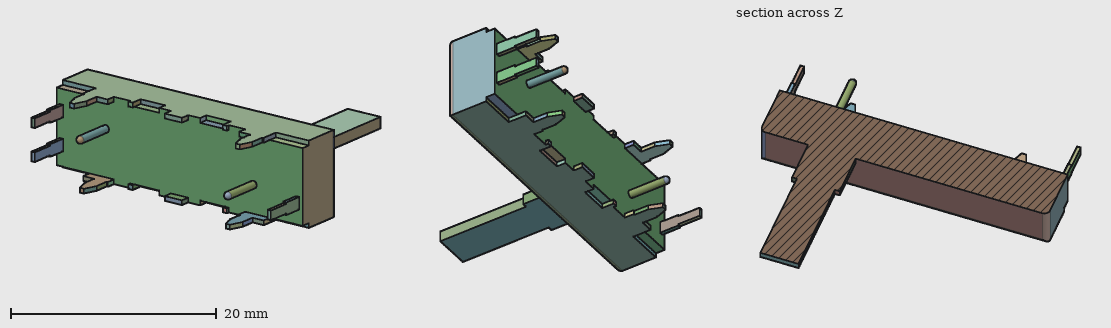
import cadquery as cq
import math


case_length = 30.0
case_depth = 5.5
case_height = 9.0
case_edge_radius = 0.6

lever_x = 7.5
lever_thickness = 1.2
lever_base_width = 5.0
lever_base_length = 4.4
lever_tip_width = 4.0
lever_tip_length = 10.0

sheet_thickness = 0.5
recess_depth = 1.0
end_recess_length = 4.0
window_inner_x = 2.5
window_outer_x = 5.5
nub_width = 0.5
nub_length = 0.3
tab_length = 1.0
centre_tab_width = 2.1
side_tab_width = 3.0

prong_width = 1.5
prong_tip_width = 0.5
prong_taper_start = 2.6
prong_length = 4.0
upper_prong_x = 10.1
lower_prong_x = 8.9

terminal_x = 14.4
terminal_z = 1.75
terminal_thickness = 0.4
terminal_base_width = 1.3
terminal_base_length = 2.1
terminal_tip_width = 1.0
terminal_length = 4.6

pin_x = 9.0
pin_z = 1.0
pin_radius = 0.4
pin_length = 4.5

case_end_x = case_length / 2
side_tab_outer_x = case_end_x - end_recess_length
side_tab_inner_x = side_tab_outer_x - side_tab_width
nub_outer_x = window_outer_x + nub_width
upper_sheet_z = case_height / 2 - sheet_thickness
lower_sheet_z = -case_height / 2


def block(x_range, y_range, z_range):
    """Box between the given limits along each axis."""
    size = [high - low for low, high in (x_range, y_range, z_range)]
    corner = (x_range[0], y_range[0], z_range[0])
    return cq.Workplane("XY").box(*size, centered=False).translate(corner)


def centred(middle, width):
    """Limits of a width centred on a place."""
    return (middle - width / 2, middle + width / 2)


def mirrored_range(side, inner, outer):
    """Limits between two distances from the middle, on the side given by its sign."""
    return tuple(sorted((side * inner, side * outer)))


def make_case():
    case = block(
        centred(0, case_length),
        (0, case_depth),
        centred(0, case_height),
    )
    return case.faces(">Y").edges().fillet(case_edge_radius)


def make_lever():
    base_end_y = case_depth + lever_base_length
    thickness_range = centred(0, lever_thickness)
    base = block(centred(lever_x, lever_base_width), (case_depth, base_end_y), thickness_range)
    tip_y_range = (base_end_y, base_end_y + lever_tip_length)
    tip = block(centred(lever_x, lever_tip_width), tip_y_range, thickness_range)
    return base.union(tip)


def make_prong(x, sheet_z):
    half_width = prong_width / 2
    half_tip = prong_tip_width / 2
    outline = [
        (x - half_width, 0),
        (x - half_width, -prong_taper_start),
        (x - half_tip, -prong_length),
        (x + half_tip, -prong_length),
        (x + half_width, -prong_taper_start),
        (x + half_width, 0),
    ]
    return cq.Workplane("XY").workplane(offset=sheet_z).polyline(outline).close().extrude(sheet_thickness)


def cut_recesses(body, sheet_z):
    """Step the sheet back at both ends and open its two windows."""
    y_range = (0, recess_depth)
    z_range = (sheet_z, sheet_z + sheet_thickness)
    for side in (-1, 1):
        body = body.cut(block(mirrored_range(side, side_tab_outer_x, case_end_x), y_range, z_range))
        body = body.cut(block(mirrored_range(side, window_inner_x, window_outer_x), y_range, z_range))
    return body


def add_tabs(body, sheet_z, prong_x):
    """Add the centre tab, and on each side a nub and a side tab with its prong."""
    z_range = (sheet_z, sheet_z + sheet_thickness)
    tab_y_range = (-tab_length, 0)
    body = body.union(block(centred(0, centre_tab_width), tab_y_range, z_range))
    for side in (-1, 1):
        nub_x_range = mirrored_range(side, window_outer_x, nub_outer_x)
        tab_x_range = mirrored_range(side, side_tab_inner_x, side_tab_outer_x)
        body = body.union(block(nub_x_range, (-nub_length, 0), z_range))
        body = body.union(block(tab_x_range, tab_y_range, z_range))
        body = body.union(make_prong(side * prong_x, sheet_z))
    return body


def make_terminal(x, z):
    x_range = centred(x, terminal_thickness)
    base = block(x_range, (-terminal_base_length, 0), centred(z, terminal_base_width))
    tip_y_range = (-terminal_length, -terminal_base_length)
    tip = block(x_range, tip_y_range, centred(z, terminal_tip_width))
    return base.union(tip)


def make_pin(x, z):
    """Pin turned about its own axis, from a half profile with a quarter round at the tip."""
    shank_end_y = pin_radius - pin_length
    dome_middle = pin_radius * math.sqrt(0.5)
    profile = (
        cq.Workplane("YZ")
        .lineTo(0, pin_radius)
        .lineTo(shank_end_y, pin_radius)
        .threePointArc((shank_end_y - dome_middle, dome_middle), (-pin_length, 0))
        .close()
    )
    return profile.revolve(360, (0, 0), (1, 0)).translate((x, 0, z))


result = make_case().union(make_lever())

for sheet_z, prong_x in ((upper_sheet_z, upper_prong_x), (lower_sheet_z, lower_prong_x)):
    result = cut_recesses(result, sheet_z)
    result = add_tabs(result, sheet_z, prong_x)

for x_side, z_side in ((-1, 1), (-1, -1), (1, -1)):
    result = result.union(make_terminal(x_side * terminal_x, z_side * terminal_z))

for side in (-1, 1):
    result = result.union(make_pin(side * pin_x, -side * pin_z))